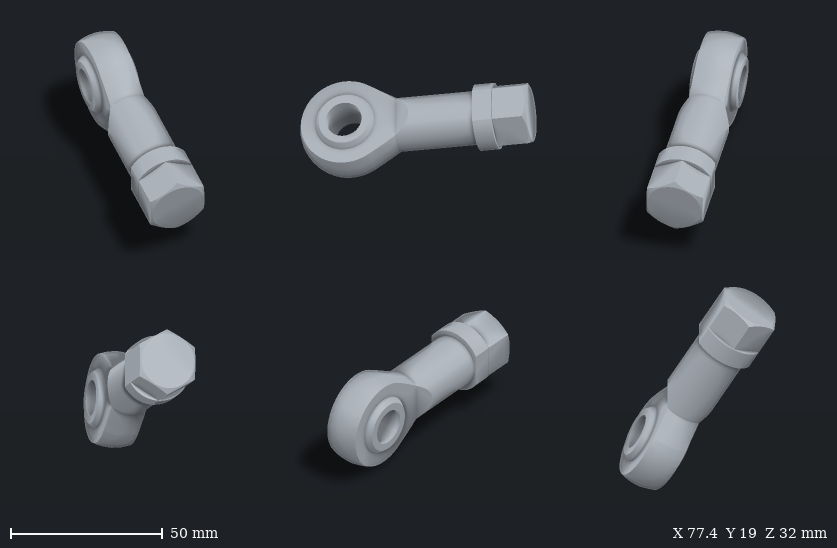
import cadquery as cq
import math

TOTAL_LENGTH = 77.4

EYE_RADIUS = 15.98
EYE_WIDTH = 12.0
NECK_ANGLE = 30.0
NECK_END_X = 16.9

SHANK_RADIUS = 17.8 / 2
HEX_SIDES = 6
ACROSS_FLATS = 19.0
HEX_LENGTH = 11.1
COLLAR_LENGTH = 6.4
GROOVE_WIDTH = 0.3
HEX_END_RADIUS = 9.1
HEX_CHAMFER_ANGLE = 30.0

BALL_RADIUS = 11.7
BALL_WIDTH = 16.0
BORE_DIAMETER = 12.0

BEVEL_SLOPE = math.tan(math.radians(NECK_ANGLE))
TANGENT_X = EYE_RADIUS * math.sin(math.radians(NECK_ANGLE))
TANGENT_Z = EYE_RADIUS * math.cos(math.radians(NECK_ANGLE))
BEVEL_END_X = NECK_END_X + (SHANK_RADIUS - EYE_WIDTH / 2) / BEVEL_SLOPE
END_X = TOTAL_LENGTH - EYE_RADIUS
HEX_START_X = END_X - HEX_LENGTH
COLLAR_END_X = HEX_START_X - GROOVE_WIDTH
COLLAR_START_X = COLLAR_END_X - COLLAR_LENGTH
ACROSS_CORNERS = ACROSS_FLATS / math.cos(math.pi / HEX_SIDES)
CORNER_RADIUS = ACROSS_CORNERS / 2


def revolve_about_x(profile):
    """Revolve a closed XZ half profile about the X axis."""
    return profile.close().revolve(360, (0, 0, 0), (1, 0, 0))


def x_cylinder(start, end, radius):
    return cq.Workplane("YZ", origin=(start, 0, 0)).circle(radius).extrude(end - start)


def make_eye_and_shank():
    """Spherical eye running through a conical neck into the shank, flattened at the eye."""
    turned = revolve_about_x(
        cq.Workplane("XZ")
        .moveTo(-EYE_RADIUS, 0)
        .threePointArc((0, EYE_RADIUS), (TANGENT_X, TANGENT_Z))
        .lineTo(NECK_END_X, SHANK_RADIUS)
        .lineTo(COLLAR_START_X, SHANK_RADIUS)
        .lineTo(COLLAR_START_X, 0)
    )
    envelope = (
        cq.Workplane("XY")
        .moveTo(-EYE_RADIUS, -EYE_WIDTH / 2)
        .lineTo(NECK_END_X, -EYE_WIDTH / 2)
        .lineTo(BEVEL_END_X, -SHANK_RADIUS)
        .lineTo(COLLAR_START_X, -SHANK_RADIUS)
        .lineTo(COLLAR_START_X, SHANK_RADIUS)
        .lineTo(BEVEL_END_X, SHANK_RADIUS)
        .lineTo(NECK_END_X, EYE_WIDTH / 2)
        .lineTo(-EYE_RADIUS, EYE_WIDTH / 2)
        .close()
        .extrude(EYE_RADIUS, both=True)
    )
    return turned.intersect(envelope)


def make_collar():
    """Round collar with two flats in line with the hexagon's Y faces."""
    flats = cq.Workplane("XY").box(2 * TOTAL_LENGTH, ACROSS_FLATS, ACROSS_CORNERS)
    return x_cylinder(COLLAR_START_X, COLLAR_END_X, CORNER_RADIUS).intersect(flats)


def make_hexagon():
    """Hexagon with corners on +Z and -Z, conically chamfered at its free end."""
    prism = (
        cq.Workplane("YZ", origin=(HEX_START_X, 0, 0))
        .transformed(rotate=(0, 0, 90))
        .polygon(HEX_SIDES, ACROSS_CORNERS)
        .extrude(HEX_LENGTH)
    )
    chamfer_length = (CORNER_RADIUS - HEX_END_RADIUS) * math.tan(math.radians(HEX_CHAMFER_ANGLE))
    chamfer_cone = revolve_about_x(
        cq.Workplane("XZ")
        .moveTo(HEX_START_X, 0)
        .lineTo(HEX_START_X, CORNER_RADIUS)
        .lineTo(END_X - chamfer_length, CORNER_RADIUS)
        .lineTo(END_X, HEX_END_RADIUS)
        .lineTo(END_X, 0)
    )
    return prism.intersect(chamfer_cone)


def make_ball_band(width, inner_radius):
    """Zone of the ball sphere of the given width along Y, around a hole of the inner radius."""
    half_width = width / 2
    face_radius = math.sqrt(BALL_RADIUS**2 - half_width**2)
    return (
        cq.Workplane("XY")
        .moveTo(inner_radius, -half_width)
        .lineTo(face_radius, -half_width)
        .threePointArc((BALL_RADIUS, 0), (face_radius, half_width))
        .lineTo(inner_radius, half_width)
        .close()
        .revolve(360, (0, 0, 0), (0, 1, 0))
    )


def make_housing():
    """Eye, shank, collar and hexagon in one piece, hollowed to seat the ball."""
    groove_core = x_cylinder(COLLAR_END_X, HEX_START_X, SHANK_RADIUS)
    ball_seat = make_ball_band(EYE_WIDTH, 0)
    return (
        make_eye_and_shank()
        .union(make_collar())
        .union(groove_core)
        .union(make_hexagon())
        .cut(ball_seat)
    )


def make_ball():
    """Ball truncated by two flat faces and bored through along Y."""
    return make_ball_band(BALL_WIDTH, BORE_DIAMETER / 2)


housing = make_housing()
ball = make_ball()
result = cq.Compound.makeCompound([housing.solids().val(), ball.val()])